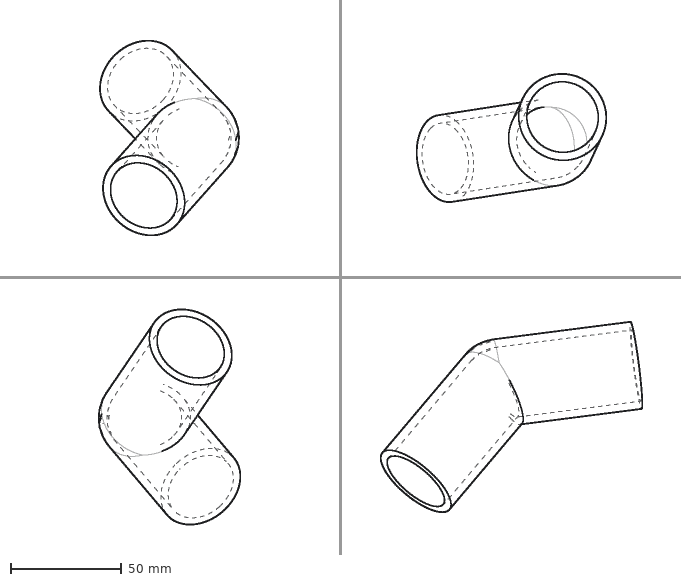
import cadquery as cq
import math

OUTER_DIAMETER = 40.0
WALL = 3.7
LEG_LENGTH = 63.0
BEND_ANGLE = 45.0

outer_radius = OUTER_DIAMETER / 2
inner_radius = outer_radius - WALL

bend = math.radians(BEND_ANGLE)
corner = cq.Vector(0, 0, 0)
inlet_direction = cq.Vector(-1, 0, 0)
outlet_direction = cq.Vector(math.cos(bend), -math.sin(bend), 0)


def leg(radius, direction):
    """Solid cylinder running from the corner centre to an open end."""
    return cq.Workplane(cq.Solid.makeCylinder(radius, LEG_LENGTH, corner, direction))


def elbow(radius):
    """Two solid legs with a ball rounding the outside of the corner."""
    ball = cq.Workplane("XY").sphere(radius)
    return leg(radius, inlet_direction).union(leg(radius, outlet_direction)).union(ball)


result = elbow(outer_radius).cut(elbow(inner_radius))